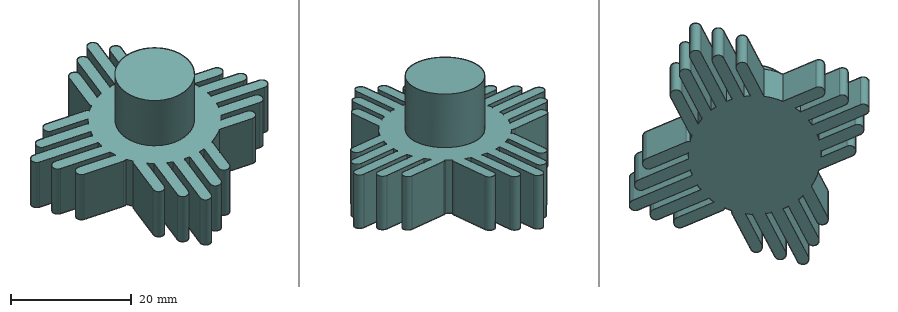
import cadquery as cq

span = 43.7
hub_offset = 1.0
hub_radius = 11.0
boss_radius = 6.6
fin_height = 10.0
boss_height = 10.0
fin_width = 2.0
fin_pitch = 3.0
root_arc_centre = 8.3
fin_reaches = [span / 2, 19.45, 16.55]


def fin(reach, offset, angle):
    """Fin with both ends rounded, running outward from the hub and turned about Z by angle."""
    root = root_arc_centre - fin_width / 2
    return (
        cq.Workplane("XY")
        .center((root + reach) / 2, offset)
        .slot2D(reach - root, fin_width)
        .extrude(fin_height)
        .rotate((0, 0, 0), (0, 0, 1), angle)
    )


hub = cq.Workplane("XY").center(0, hub_offset).circle(hub_radius).extrude(fin_height)
boss = cq.Workplane("XY").center(0, hub_offset).circle(boss_radius).extrude(fin_height + boss_height)
result = hub.union(boss)

for angle in (0, 90, 180, 270):
    for step, reach in enumerate(fin_reaches):
        for side in ((1,) if step == 0 else (1, -1)):
            result = result.union(fin(reach, side * step * fin_pitch, angle))